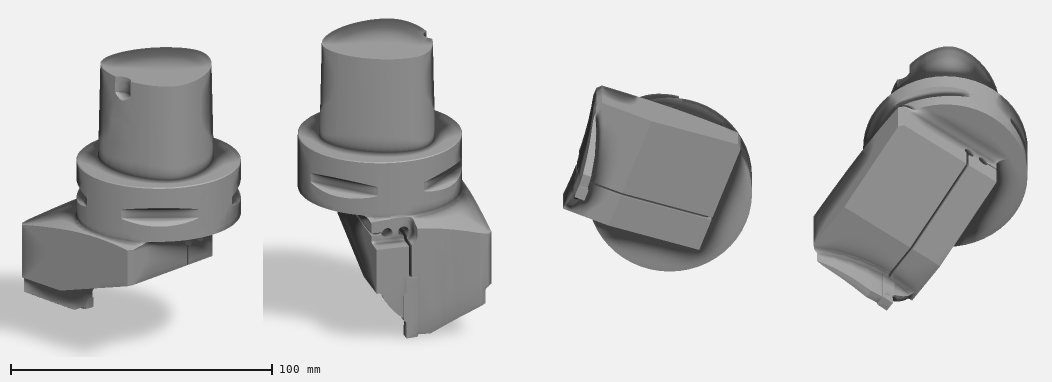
import cadquery as cq
import math


OVERALL_X = 73.9
OVERALL_Y = 64.5
OVERALL_Z = 108

TAPER_LENGTH = 38.0
TAPER_MEAN_RADIUS = 22.1
TAPER_ECCENTRICITY = 1.4
TAPER_RADIUS_DROP = 0.9
LOBE_COUNT = 3
FIRST_LOBE_ANGLE = 90
LOBE_PITCH = 360 / LOBE_COUNT
LOBE_HALF_ANGLE = 36
POINTS_PER_FACE = 9

KEY_RADIUS = 5.0
KEY_BACK_Y = -17.5
KEY_DEPTH = 6.5
KEY_POINT_ANGLE = 100

FLANGE_RADIUS = 63.0 / 2
FLANGE_THICKNESS = 22.0
FLANGE_CHAMFER = 0.3

GROOVE_Z = -12.0
GROOVE_FLOOR_DISTANCE = 27.8
GROOVE_FLOOR_WIDTH = 3.7
GROOVE_SIDE_ANGLE = 28
GROOVE_FILLET = 0.8
GROOVE_COUNT = 4
FIRST_GROOVE_ANGLE = 45

HEAD_LEFT = FLANGE_RADIUS - OVERALL_X
ROUGH_LEFT = HEAD_LEFT - 0.3
HEAD_RIGHT = 16.8
HEAD_FRONT = FLANGE_RADIUS - OVERALL_Y
HEAD_BACK = 12.1
HEAD_BOTTOM = -50.3
HEAD_CHAMFER = 1.6
HEAD_FILLET = 3.0
SLOPE_START_X = -20.4
SLOPE_ANGLE = 17.4

RING_RADIUS = 32.6
RING_Z = -23.4
RING_SAG = 0.4
CONE_ANGLE = 15
CONE_OUTER_RADIUS = 64.8

CONCAVE_RADIUS = 128.5
CONVEX_RADIUS = 61.0
BLADE_CONCAVE_X = -38.8
BLADE_CONVEX_X = -35.5
CONCAVE_CENTRE_Y = 2.2
CONVEX_CENTRE_Y = -2.2
CONCAVE_END_Y = 10.3
BLADE_FRONT = -31.3
BLADE_KNEE_Z = -56.8
BLADE_TIP_Y = -9.3
BLADE_TIP_Z = -68.8
BLADE_FILLET = 1.6

JAW_TIP_Y = 0.5
JAW_TIP_Z = -62.2
JAW_MIDDLE_Y = 5.4
JAW_MIDDLE_Z = -58.1
HOLE_RADIUS = 2.0
HOLE_Z = -28.8
INNER_HOLE_Y = -0.6
OUTER_HOLE_Y = 5.8
SLIT_WIDTH = 1.1
SLIT_Y = -1.4
RELIEF_WALL_Y = -4.1
RELIEF_FLOOR_Z = -32.3
RELIEF_RADIUS = 4.0
RELIEF_WALL_X = -31.6
RELIEF_FILLET = 1.1

INSERT_LENGTH = 25.1
INSERT_BOTTOM_Z = TAPER_LENGTH - OVERALL_Z
INSERT_RAKE_Y = 0.2
INSERT_SEAT_Y = -4.4
INSERT_RIDGE_Y = 1.3
RIDGE_HALF_LENGTH = 5.1
RIDGE_RAMP = 0.9
END_RELIEF = 0.3
SHANK_LEFT = -39.0
SHANK_RIGHT = -35.4
EDGE_LEFT = -39.1
EDGE_RIGHT = -35.0
EDGE_LENGTH = 4.0
EDGE_DEEP_Y = -2.2
EDGE_LOW_Y = -3.9
EDGE_LOW_LENGTH = 1.3

FAR = 108
PICK = 0.2


def polygon_point(mean_radius, angle):
    """Point of the constant-width three-lobe curve whose outward normal has this angle (degrees)."""
    a = math.radians(angle)
    lobe_phase = LOBE_COUNT * math.radians(angle - FIRST_LOBE_ANGLE)
    support = mean_radius + TAPER_ECCENTRICITY * math.cos(lobe_phase)
    slide = -LOBE_COUNT * TAPER_ECCENTRICITY * math.sin(lobe_phase)
    return cq.Vector(support * math.cos(a) - slide * math.sin(a),
                     support * math.sin(a) + slide * math.cos(a), 0)


def polygon_wire(mean_radius, z):
    """Closed three-lobe outline made of alternating lobe and flank curves."""
    edges = []
    for lobe in range(LOBE_COUNT):
        lobe_middle = FIRST_LOBE_ANGLE + lobe * LOBE_PITCH
        lobe_end = lobe_middle + LOBE_HALF_ANGLE
        spans = [(lobe_middle - LOBE_HALF_ANGLE, lobe_end),
                 (lobe_end, lobe_middle + LOBE_PITCH - LOBE_HALF_ANGLE)]
        for start, end in spans:
            step = (end - start) / (POINTS_PER_FACE - 1)
            points = [polygon_point(mean_radius, start + i * step) for i in range(POINTS_PER_FACE)]
            edges.append(cq.Edge.makeSpline(points))
    return cq.Wire.assembleEdges(edges).translate(cq.Vector(0, 0, z))


def make_taper():
    base = polygon_wire(TAPER_MEAN_RADIUS, 0)
    top = polygon_wire(TAPER_MEAN_RADIUS - TAPER_RADIUS_DROP, TAPER_LENGTH)
    return cq.Workplane(cq.Solid.makeLoft([base, top], True)).cut(key_notch())


def key_notch():
    """Drilled notch with a conical point, open at the top of the shank."""
    shoulder_z = TAPER_LENGTH - KEY_DEPTH
    point_depth = KEY_RADIUS / math.tan(math.radians(KEY_POINT_ANGLE / 2))
    return (
        cq.Workplane("XZ")
        .polyline([(0, TAPER_LENGTH), (KEY_RADIUS, TAPER_LENGTH),
                   (KEY_RADIUS, shoulder_z), (0, shoulder_z - point_depth)])
        .close()
        .revolve(360, (0, 0), (0, 1))
        .translate((0, KEY_BACK_Y - KEY_RADIUS, 0))
    )


def gripper_groove(angle):
    """V groove with a flat floor, cut across the flange rim in the given direction."""
    depth = FLANGE_RADIUS - GROOVE_FLOOR_DISTANCE
    half_floor = GROOVE_FLOOR_WIDTH / 2
    half_mouth = half_floor + depth * math.tan(math.radians(GROOVE_SIDE_ANGLE))
    return (
        cq.Workplane("XZ")
        .polyline([(GROOVE_FLOOR_DISTANCE, GROOVE_Z - half_floor),
                   (FLANGE_RADIUS, GROOVE_Z - half_mouth),
                   (FLANGE_RADIUS, GROOVE_Z + half_mouth),
                   (GROOVE_FLOOR_DISTANCE, GROOVE_Z + half_floor)])
        .close()
        .extrude(FLANGE_RADIUS, both=True)
        .edges("|Y and <X")
        .fillet(GROOVE_FILLET)
        .rotate((0, 0, 0), (0, 0, 1), angle)
    )


def make_flange():
    flange = (
        cq.Workplane("XY")
        .circle(FLANGE_RADIUS)
        .extrude(-FLANGE_THICKNESS)
        .faces(">Z")
        .chamfer(FLANGE_CHAMFER)
    )
    for i in range(GROOVE_COUNT):
        flange = flange.cut(gripper_groove(FIRST_GROOVE_ANGLE + i * 360 / GROOVE_COUNT))
    return flange


def concave_x(y):
    """X of the concave -X wall at the given Y."""
    rise = math.sqrt(CONCAVE_RADIUS ** 2 - (y - CONCAVE_CENTRE_Y) ** 2)
    return BLADE_CONCAVE_X - CONCAVE_RADIUS + rise


def head_plan():
    """Column bounded by the concave -X wall, the front face and the two chamfered front corners."""
    bulge = BLADE_CONCAVE_X - HEAD_LEFT
    concave_start_y = CONCAVE_CENTRE_Y - math.sqrt(CONCAVE_RADIUS ** 2 - (CONCAVE_RADIUS - bulge) ** 2)
    wall_end_slope = -(CONCAVE_END_Y - CONCAVE_CENTRE_Y) / CONCAVE_RADIUS
    wall_end_run = FAR / 4
    return (
        cq.Workplane("XY")
        .moveTo(HEAD_RIGHT - HEAD_CHAMFER, HEAD_FRONT)
        .lineTo(HEAD_LEFT + HEAD_CHAMFER, HEAD_FRONT)
        .lineTo(HEAD_LEFT, HEAD_FRONT + HEAD_CHAMFER)
        .lineTo(HEAD_LEFT, concave_start_y)
        .threePointArc((BLADE_CONCAVE_X, CONCAVE_CENTRE_Y), (concave_x(CONCAVE_END_Y), CONCAVE_END_Y))
        .line(wall_end_run * wall_end_slope, wall_end_run)
        .lineTo(HEAD_RIGHT - HEAD_CHAMFER + FAR, HEAD_FRONT + FAR)
        .close()
        .extrude(-FAR)
    )


def head_block():
    """Block under the flange with a rising bottom, rounded into the flange at its +X and +Y walls."""
    slope_rise = (HEAD_RIGHT - SLOPE_START_X) * math.tan(math.radians(SLOPE_ANGLE))
    block = (
        cq.Workplane("XZ", origin=(0, HEAD_BACK, 0))
        .polyline([(ROUGH_LEFT, -FLANGE_THICKNESS), (ROUGH_LEFT, HEAD_BOTTOM), (SLOPE_START_X, HEAD_BOTTOM),
                   (HEAD_RIGHT, HEAD_BOTTOM + slope_rise), (HEAD_RIGHT, -FLANGE_THICKNESS)])
        .close()
        .extrude(HEAD_BACK - HEAD_FRONT)
    )
    cover = (
        cq.Workplane("XY", origin=(ROUGH_LEFT, HEAD_FRONT, -FLANGE_THICKNESS))
        .rect(FAR, FAR, centered=False)
        .extrude(FLANGE_THICKNESS / 2)
    )
    root_edges = cq.selectors.BoxSelector(
        (ROUGH_LEFT, HEAD_FRONT, -FLANGE_THICKNESS - PICK),
        (HEAD_RIGHT + PICK, HEAD_BACK + PICK, -FLANGE_THICKNESS + PICK),
    )
    return block.union(cover).edges(root_edges).fillet(HEAD_FILLET)


def head_envelope():
    """Everything below the flange rim, the ring fillet and the conical head top."""
    cone_drop = (CONE_OUTER_RADIUS - RING_RADIUS) * math.tan(math.radians(CONE_ANGLE))
    return (
        cq.Workplane("XZ")
        .moveTo(0, -FLANGE_THICKNESS)
        .lineTo(FLANGE_RADIUS, -FLANGE_THICKNESS)
        .sagittaArc((RING_RADIUS, RING_Z), -RING_SAG)
        .lineTo(CONE_OUTER_RADIUS, RING_Z - cone_drop)
        .lineTo(CONE_OUTER_RADIUS, -FAR)
        .lineTo(0, -FAR)
        .close()
        .revolve(360, (0, 0), (0, 1))
    )


def make_blade():
    """Thin blade below the head, convex on its +X side."""
    return (
        cq.Workplane("YZ", origin=(ROUGH_LEFT, 0, 0))
        .moveTo(BLADE_FRONT, HEAD_BOTTOM)
        .lineTo(BLADE_FRONT, BLADE_KNEE_Z)
        .lineTo(BLADE_TIP_Y, BLADE_TIP_Z)
        .lineTo(INSERT_SEAT_Y, BLADE_TIP_Z)
        .lineTo(JAW_TIP_Y, JAW_TIP_Z)
        .threePointArc((JAW_MIDDLE_Y, JAW_MIDDLE_Z), (CONCAVE_END_Y, HEAD_BOTTOM))
        .close()
        .extrude(HEAD_RIGHT - ROUGH_LEFT)
        .intersect(
            cq.Workplane("XY")
            .center(BLADE_CONVEX_X - CONVEX_RADIUS, CONVEX_CENTRE_Y)
            .circle(CONVEX_RADIUS)
            .extrude(-FAR)
        )
    )


def jaw_relief():
    """Rounded corner cut back from the -X wall above the jaw."""
    return (
        cq.Workplane("YZ", origin=(HEAD_LEFT, 0, 0))
        .moveTo(RELIEF_WALL_Y, -FLANGE_THICKNESS)
        .lineTo(RELIEF_WALL_Y, RELIEF_FLOOR_Z + RELIEF_RADIUS)
        .radiusArc((RELIEF_WALL_Y + RELIEF_RADIUS, RELIEF_FLOOR_Z), -RELIEF_RADIUS)
        .lineTo(FAR, RELIEF_FLOOR_Z)
        .lineTo(FAR, -FLANGE_THICKNESS)
        .close()
        .extrude(RELIEF_WALL_X - HEAD_LEFT)
        .faces(">X")
        .edges("<Y or <Z")
        .fillet(RELIEF_FILLET)
    )


def jaw_slits():
    """Two holes and two slits through the head that let the jaw flex."""
    plane = cq.Workplane("YZ", origin=(-FAR / 2, 0, 0))
    holes = (
        plane.pushPoints([(INNER_HOLE_Y, HOLE_Z), (OUTER_HOLE_Y, HOLE_Z)])
        .circle(HOLE_RADIUS)
        .extrude(FAR)
    )
    back_slit = (
        plane.center(OUTER_HOLE_Y, HOLE_Z - SLIT_WIDTH / 2)
        .rect(FAR, SLIT_WIDTH, centered=False)
        .extrude(FAR)
    )
    insert_slit = (
        plane.center(SLIT_Y - SLIT_WIDTH / 2, HOLE_Z)
        .rect(SLIT_WIDTH, -FAR, centered=False)
        .extrude(FAR)
    )
    return holes.union(back_slit).union(insert_slit)


def make_insert():
    """Double-ended grooving insert: a ridged shank with a wider cutting edge at each end."""
    half = INSERT_LENGTH / 2
    ramp_half = RIDGE_HALF_LENGTH + RIDGE_RAMP
    seat_half = half - END_RELIEF
    shank = (
        cq.Workplane("YZ", origin=(SHANK_LEFT, 0, 0))
        .polyline([(INSERT_SEAT_Y, -seat_half), (INSERT_RAKE_Y, -half), (INSERT_RAKE_Y, -ramp_half),
                   (INSERT_RIDGE_Y, -RIDGE_HALF_LENGTH), (INSERT_RIDGE_Y, RIDGE_HALF_LENGTH),
                   (INSERT_RAKE_Y, ramp_half), (INSERT_RAKE_Y, half), (INSERT_SEAT_Y, seat_half)])
        .close()
        .extrude(SHANK_RIGHT - SHANK_LEFT)
    )
    low_end = seat_half + END_RELIEF * (EDGE_LOW_Y - INSERT_SEAT_Y) / (INSERT_RAKE_Y - INSERT_SEAT_Y)
    edge = (
        cq.Workplane("YZ", origin=(EDGE_LEFT, 0, 0))
        .polyline([(INSERT_RAKE_Y, half), (INSERT_RAKE_Y, half - EDGE_LENGTH),
                   (EDGE_DEEP_Y, half - EDGE_LENGTH), (EDGE_LOW_Y, half - EDGE_LOW_LENGTH),
                   (EDGE_LOW_Y, low_end)])
        .close()
        .extrude(EDGE_RIGHT - EDGE_LEFT)
    )
    insert = shank.union(edge).union(edge.mirror("XY"))
    return insert.translate((0, 0, INSERT_BOTTOM_Z + half))


def make_holder(insert):
    head = head_block().union(make_blade())
    blade_roots = cq.selectors.BoxSelector(
        (ROUGH_LEFT, BLADE_FRONT, HEAD_BOTTOM - PICK),
        (BLADE_CONVEX_X + PICK, CONCAVE_END_Y + PICK, HEAD_BOTTOM + PICK),
    )
    head = head.edges(blade_roots).fillet(BLADE_FILLET)
    head = head.intersect(head_plan()).intersect(head_envelope())
    head = head.cut(jaw_relief()).cut(jaw_slits())
    return make_taper().union(make_flange()).union(head).cut(insert)


insert = make_insert()
holder = make_holder(insert)

result = cq.Compound.makeCompound([holder.val(), insert.val()])